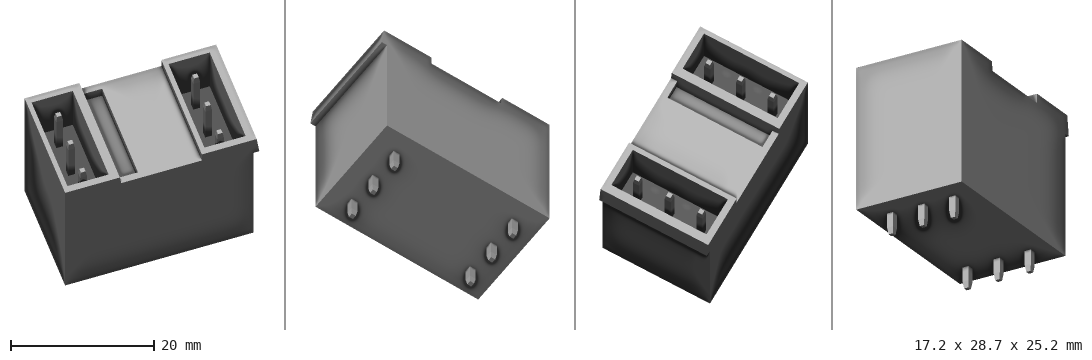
import cadquery as cq

width = 17.25
height = 22.0
top_length = 28.28
hook_overhang = 0.4
hook_height = 3.07
rear_face_y = 27.8

row_pitch = 20.22
row_offsets = [0, row_pitch]

saddle_depth = 1.43
saddle_rear_y = 20.2
saddle_front_top_y = 8.1
slot_rear_y = 11.1
slot_depth = hook_height

pocket_width = 15.23
pocket_length = 6.08
pocket_front_y = 0.7
pocket_depth = 8.03

pins_per_row = 3
pin_pitch = 5.08
pin_size = 1.0
pin_tip_size = 0.7
pin_taper_height = 1.0
pin_drop = 3.2
pin_top_gap = 0.92
pin_front_y = 3.8

pin_height = pin_drop + height - pin_top_gap
latch_slope = hook_overhang / hook_height


def latch_y(depth):
    """Y of the sloped latch face of the front row at a depth below the top."""
    return saddle_front_top_y + latch_slope * depth


def extrude_across(points, across):
    """Extrude a Y-Z outline along X, centred on the middle of the housing."""
    return cq.Workplane("YZ").polyline(points).close().extrude(across / 2, both=True)


def make_block():
    saddle_z = height - saddle_depth
    hook_z = height - hook_height
    return extrude_across(
        [
            (0, 0),
            (rear_face_y, 0),
            (rear_face_y, hook_z),
            (top_length + hook_overhang, hook_z),
            (top_length, height),
            (saddle_rear_y, height),
            (saddle_rear_y, saddle_z),
            (latch_y(saddle_depth), saddle_z),
            (saddle_front_top_y, height),
            (0, height),
        ],
        width,
    )


def make_latch_slot():
    slot_z = height - slot_depth
    return extrude_across(
        [
            (saddle_front_top_y, height),
            (slot_rear_y, height),
            (slot_rear_y, slot_z),
            (latch_y(slot_depth), slot_z),
        ],
        pocket_width,
    )


def make_pocket(row_y):
    return (
        cq.Workplane("XY")
        .box(pocket_width, pocket_length, pocket_depth, centered=(True, False, False))
        .translate((0, pocket_front_y + row_y, height - pocket_depth))
    )


def make_pin(x, y):
    """Square pin, tapered at both ends, running through the housing floor."""
    straight_height = pin_height - 2 * pin_taper_height
    shaft = cq.Workplane("XY").rect(pin_size, pin_size).extrude(straight_height)
    top_tip = (
        cq.Workplane("XY", origin=(0, 0, straight_height))
        .rect(pin_size, pin_size)
        .workplane(offset=pin_taper_height)
        .rect(pin_tip_size, pin_tip_size)
        .loft()
    )
    bottom_tip = (
        cq.Workplane("XY")
        .rect(pin_size, pin_size)
        .workplane(offset=-pin_taper_height)
        .rect(pin_tip_size, pin_tip_size)
        .loft()
    )
    pin = shaft.union(top_tip).union(bottom_tip)
    return pin.translate((x, y, pin_taper_height - pin_drop))


def make_housing(pins):
    housing = make_block().cut(make_latch_slot())
    for row_y in row_offsets:
        housing = housing.cut(make_pocket(row_y))
    for pin in pins:
        housing = housing.cut(pin)
    return housing


first_pin_x = -pin_pitch * (pins_per_row - 1) / 2
pins = [
    make_pin(first_pin_x + column * pin_pitch, pin_front_y + row_y)
    for row_y in row_offsets
    for column in range(pins_per_row)
]
housing = make_housing(pins)

result = cq.Compound.makeCompound([housing.val(), *[pin.val() for pin in pins]])